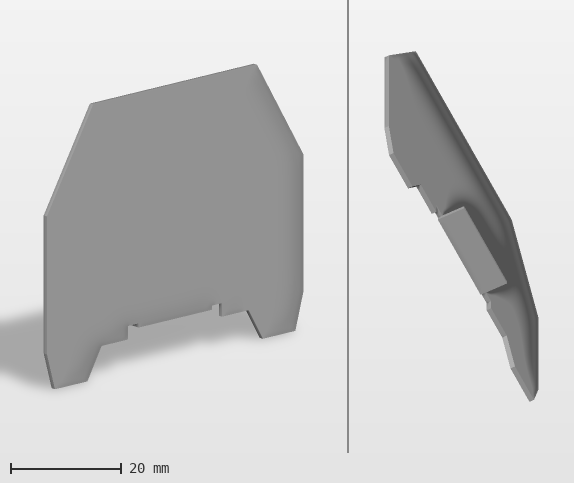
import cadquery as cq

plate_width = 61.0
plate_height = 52.0
plate_thickness = 0.9
top_edge_width = 39.05
upper_corner_height = 33.0
lower_corner_height = 6.95

foot_outer_span = 57.2
foot_inner_span = 41.7
shoulder_span = 35.0
shoulder_height = 6.05
notch_width = 22.3
notch_top = 8.6

overall_depth = 5.3
tab_width = 17.45
tab_thickness = 0.8


def make_plate():
    """Flat plate in the YZ plane, from X = 0 to its thickness."""
    half_outline = [
        (notch_width / 2, notch_top),
        (notch_width / 2, shoulder_height),
        (shoulder_span / 2, shoulder_height),
        (foot_inner_span / 2, 0),
        (foot_outer_span / 2, 0),
        (plate_width / 2, lower_corner_height),
        (plate_width / 2, upper_corner_height),
        (top_edge_width / 2, plate_height),
    ]
    mirrored_half = [(-y, z) for y, z in reversed(half_outline)]
    outline = half_outline + mirrored_half
    return cq.Workplane("YZ").polyline(outline).close().extrude(plate_thickness)


def make_tab():
    """Horizontal tab whose upper face meets the top edge of the notch."""
    tab_reach = overall_depth - plate_thickness
    return (
        cq.Workplane("XY")
        .box(overall_depth, tab_width, tab_thickness, centered=(False, True, False))
        .translate((-tab_reach, 0, notch_top - tab_thickness))
    )


result = make_plate().union(make_tab())